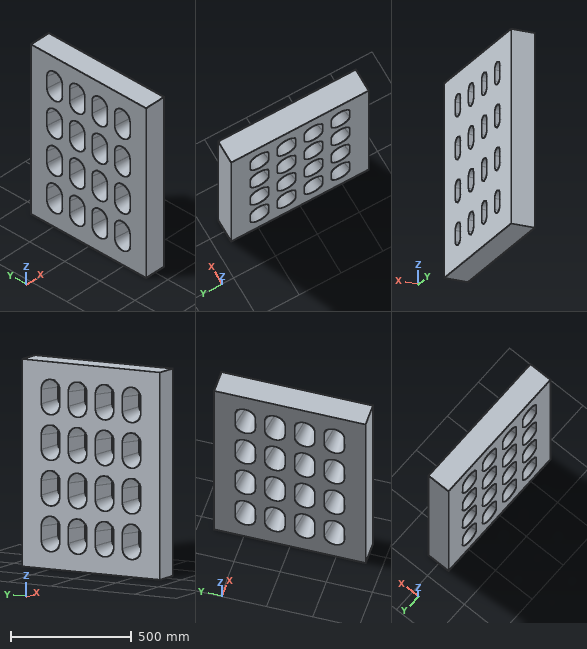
import cadquery as cq

thickness = 109.5
width = 657.0
height = 876.0

columns = 4
rows = 4
column_pitch = 129.0
row_pitch = 193.0

wide_length = 149.0
wide_width = 88.0
narrow_length = 100.0
narrow_width = 50.0

UPRIGHT = 90


def tapered_slot(y, z):
    """Cutter through the full thickness, narrowing from the -X face to the +X face."""
    return (
        cq.Workplane("YZ", origin=(-thickness / 2, y, z))
        .slot2D(wide_length, wide_width, UPRIGHT)
        .workplane(offset=thickness)
        .slot2D(narrow_length, narrow_width, UPRIGHT)
        .loft(ruled=True)
    )


result = cq.Workplane("XY").box(thickness, width, height)

for column in range(columns):
    slot_y = (column - (columns - 1) / 2) * column_pitch
    for row in range(rows):
        slot_z = (row - (rows - 1) / 2) * row_pitch
        result = result.cut(tapered_slot(slot_y, slot_z))